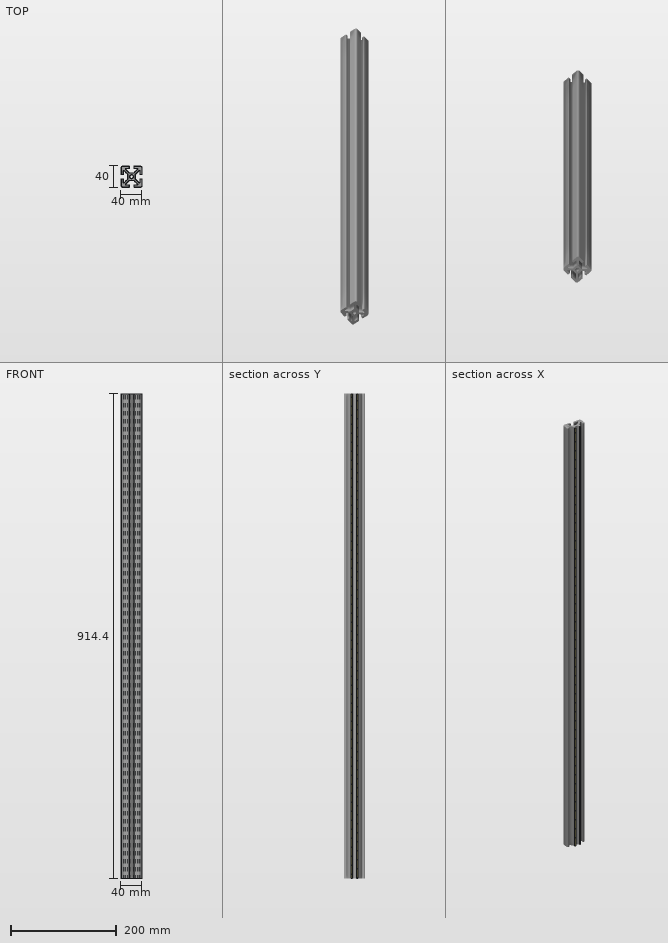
import cadquery as cq
side = 40.0
length = 914.4
corner_radius = 4.0
bore_diameter = 6.81

slot_opening = 8.1
slot_width = 22.6
mouth_radius = 1.5
lip_thickness = 4.5
slot_depth = 12.7
web_thickness = 4.2
slot_count = 4

half_side = side / 2
lip_y = half_side - lip_thickness
floor_y = half_side - slot_depth
half_opening = slot_opening / 2
half_width = slot_width / 2

web_offset = web_thickness / 2 * 2**0.5
half_floor = floor_y - web_offset
flank_top_y = half_width + web_offset


def make_bar():
    """Square bar with rounded long edges, centred on the origin."""
    bar = cq.Workplane("XY").box(side, side, length)
    return bar.edges("|Z").fillet(corner_radius)


def make_slot():
    """Full-length T-slot void opening toward +Y."""
    half_mouth = half_opening + mouth_radius
    rounding_y = half_side - mouth_radius
    outline = (
        cq.Workplane("XY")
        .moveTo(half_floor, floor_y)
        .lineTo(half_width, flank_top_y)
        .lineTo(half_width, lip_y)
        .lineTo(half_opening, lip_y)
        .lineTo(half_opening, rounding_y)
        .radiusArc((half_mouth, half_side), mouth_radius)
        .lineTo(-half_mouth, half_side)
        .radiusArc((-half_opening, rounding_y), mouth_radius)
        .lineTo(-half_opening, lip_y)
        .lineTo(-half_width, lip_y)
        .lineTo(-half_width, flank_top_y)
        .lineTo(-half_floor, floor_y)
        .close()
    )
    return outline.extrude(length / 2, both=True)


def cut_slots(bar):
    """Cut the same slot into all four faces."""
    slot = make_slot()
    for index in range(slot_count):
        angle = index * 360 / slot_count
        bar = bar.cut(slot.rotate((0, 0, 0), (0, 0, 1), angle))
    return bar


def cut_bore(bar):
    """Drill the central bore through the whole length."""
    bore = cq.Workplane("XY").circle(bore_diameter / 2).extrude(length / 2, both=True)
    return bar.cut(bore)


result = cut_bore(cut_slots(make_bar()))